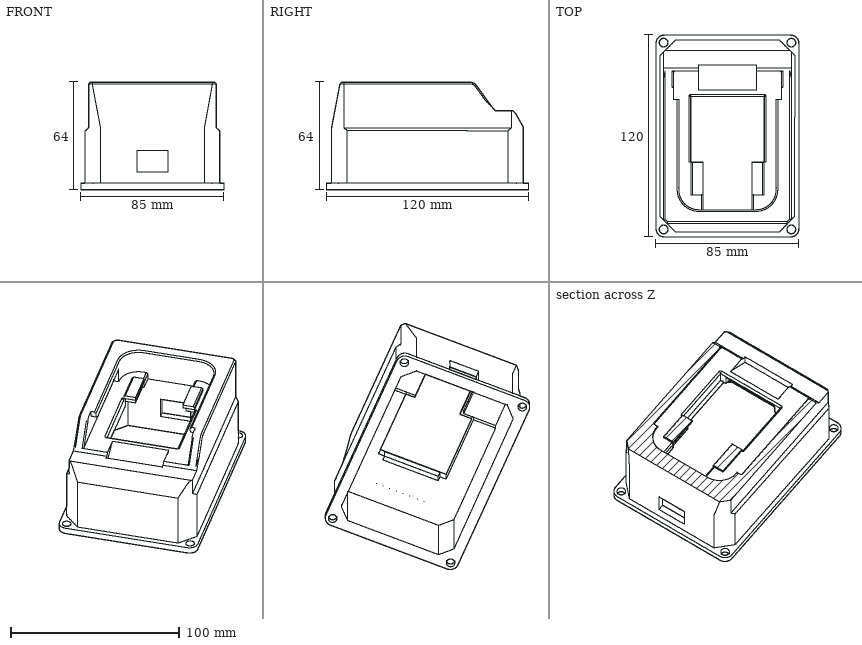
import cadquery as cq
import math

plate_x = 85.0
plate_y = 120.0
plate_thick = 4.0
plate_corner_r = 5.0
hole_d = 5.0
hole_inset = 4.5

total_z = 64.0
body_half_x = 40.1
upper_half_x = 37.9
body_half_y = 57.0
corner_cut = 9.2
right_wall_skew = 0.4
wall = 3.8

ledge_bottom_z = 35.0
ledge_top_z = 36.8
front_bend_z = 37.0
front_top_y = -51.8
rear_bend_z = 37.2
rear_bevel_y = 52.3
rear_bevel_z = 45.5
rear_deck_y = 50.6
rear_deck_z = 47.0
floor_z = 48.7
floor_step = floor_z - rear_deck_z
floor_rear_y = 38.8
rim_rear_y = 27.7
rim_round_r = 4.5
rim_bevel = 0.8
edge_bevel = 1.0
bevel_angle = 45

lip_half_x = 28.9
lip_front_y = -43.8
lip_corner_r = 12.0
lip_bottom_z = 58.0
lip_rear_y = 21.7
lip_round_r = 4.8
lip_bevel = 1.0
recess_half_x = 32.0
recess_front_y = -30.7

window_half_x = 21.7
window_rear_y = 23.4
window_front_y = -18.8
narrow_half_x = 14.5
window_bevel = 1.2
narrow_bevel = 1.0
notch_half_x = 17.8
notch_rear_y = 26.2
notch_cover = 0.7
notch_top_z = floor_z - window_bevel - notch_cover

tab_front_y = -34.9
tab_rear_y = -15.5
tab_top_z = 50.8
tab_bevel_width = 0.8
tab_bevel_drop = 0.6

pocket_half_x = 17.3
pocket_rear_y = 42.1
pocket_rear_z = 41.4
pocket_bend_y = 29.5
pocket_bend_z = 48.0
pocket_front_y = 27.4

ceiling_z = 40.7
front_ceiling_z = 44.2

port_half_x = 9.2
port_bottom_z = 10.5
port_top_z = 23.3

above_z = total_z + 1.2


def block(x0, x1, y0, y1, z0, z1):
    """Axis-aligned block between opposite corners."""
    return cq.Workplane("XY").box(x1 - x0, y1 - y0, z1 - z0, centered=False).translate((x0, y0, z0))


def mid_block(half_x, y0, y1, z0, z1):
    """Block centred on the YZ plane."""
    return block(-half_x, half_x, y0, y1, z0, z1)


def side_prism(points, half_x):
    """Extrude a (y, z) outline symmetrically along X."""
    return cq.Workplane("YZ").polyline(points).close().extrude(half_x, both=True)


def footprint():
    """Wire of the body's plan outline, with cut corners and a slightly skewed right wall."""
    cut_x = body_half_x - corner_cut
    cut_y = body_half_y - corner_cut
    return cq.Workplane("XY").polyline([
        (-cut_x, -body_half_y),
        (cut_x, -body_half_y),
        (body_half_x - right_wall_skew, -cut_y),
        (body_half_x, cut_y),
        (cut_x, body_half_y),
        (-cut_x, body_half_y),
        (-body_half_x, cut_y),
        (-body_half_x, -cut_y),
    ]).close()


def base_plate():
    plate = (
        cq.Workplane("XY")
        .rect(plate_x, plate_y)
        .extrude(plate_thick)
        .edges("|Z")
        .fillet(plate_corner_r)
    )
    return (
        plate.faces(">Z").workplane()
        .rect(plate_x - 2 * hole_inset, plate_y - 2 * hole_inset, forConstruction=True)
        .vertices()
        .hole(hole_d)
    )


def outer_body():
    """Plan, side and front outlines intersected, then the rim edges bevelled."""
    side = side_prism([
        (-body_half_y, 0),
        (-body_half_y, front_bend_z),
        (front_top_y, total_z),
        (rim_rear_y, total_z),
        (floor_rear_y, floor_z),
        (floor_rear_y + floor_step, rear_deck_z),
        (rear_deck_y, rear_deck_z),
        (rear_bevel_y, rear_bevel_z),
        (body_half_y, rear_bend_z),
        (body_half_y, 0),
    ], body_half_x)
    side = side.faces(">Z").edges(">Y").fillet(rim_round_r)
    front = cq.Workplane("XZ").polyline([
        (-body_half_x, 0),
        (-body_half_x, ledge_bottom_z),
        (-upper_half_x, ledge_top_z),
        (-upper_half_x, total_z),
        (upper_half_x, total_z),
        (upper_half_x, ledge_top_z),
        (body_half_x, ledge_bottom_z),
        (body_half_x, 0),
    ]).close().extrude(body_half_y, both=True)
    body = footprint().extrude(total_z).intersect(side).intersect(front)
    return body.faces(">Z").edges("not >Y").chamfer(edge_bevel)


def rim_recess():
    """Space between the rims: open between the lips and undercut below them."""
    opening = mid_block(lip_half_x, lip_front_y, floor_rear_y, floor_z, above_z)
    opening = opening.edges("|Z and <Y").fillet(lip_corner_r)
    under_lips = mid_block(recess_half_x, recess_front_y, floor_rear_y, floor_z, above_z)
    lips = mid_block(recess_half_x, recess_front_y, lip_rear_y, lip_bottom_z, above_z)
    lips = lips.edges(">Y and <Z").fillet(lip_round_r)
    return opening.union(under_lips.cut(lips))


def flare(half_x, y0, y1, top_z, size, corner_r=0):
    """Tapered cutter that bevels the upper edge of a straight opening."""
    outline = cq.Sketch().push([(0, (y0 + y1) / 2)]).rect(2 * half_x, y1 - y0).reset()
    if corner_r:
        outline = outline.vertices("<Y").fillet(corner_r)
    base = cq.Workplane("XY").workplane(offset=top_z - size)
    return base.placeSketch(outline).extrude(size, taper=-bevel_angle)


def rim_end_bevel():
    """Wedges that bevel the inner edges of the sloped rim ends, up to where the slope rounds over."""
    slope_angle = math.atan2(total_z - floor_z, floor_rear_y - rim_rear_y)
    slope_length = math.hypot(total_z - floor_z, floor_rear_y - rim_rear_y)
    straight_length = slope_length - rim_round_r * math.tan(slope_angle / 2)
    up_slope = (0, -math.cos(slope_angle), math.sin(slope_angle))
    foot = cq.Plane(origin=(recess_half_x, floor_rear_y, floor_z), xDir=(1, 0, 0), normal=up_slope)
    wedge = cq.Workplane(foot).polyline([
        (rim_bevel, 0),
        (0, rim_bevel),
        (-rim_bevel, 0),
        (0, -rim_bevel),
    ]).close().extrude(straight_length)
    return wedge.union(wedge.mirror("YZ"))


def window():
    """Stepped opening through the floor, bevelled where no tab stands, notched under its rear edge."""
    wide = mid_block(window_half_x, window_front_y, window_rear_y, 0, above_z)
    under_tabs = mid_block(narrow_half_x + narrow_bevel, tab_front_y, window_front_y, 0, above_z)
    narrow = mid_block(narrow_half_x, lip_front_y, tab_front_y, 0, floor_z)
    notch = mid_block(notch_half_x, window_rear_y, notch_rear_y, 0, notch_top_z)

    wide_flare = flare(window_half_x, window_front_y, window_rear_y, floor_z, window_bevel)
    wide_flare = wide_flare.intersect(mid_block(body_half_x, tab_rear_y, body_half_y, 0, above_z))
    narrow_flare = flare(narrow_half_x, lip_front_y, tab_front_y, floor_z, narrow_bevel)
    narrow_flare = narrow_flare.intersect(mid_block(body_half_x, lip_front_y, tab_front_y, 0, above_z))

    opening = wide
    for cutter in (under_tabs, narrow, notch, wide_flare, narrow_flare):
        opening = opening.union(cutter)
    return opening


def tab(side):
    """Raised tab beside the narrow part of the window, bevelled on its outer upper edge."""
    return cq.Workplane("XZ", origin=(0, tab_rear_y, 0)).polyline([
        (side * narrow_half_x, floor_z),
        (side * narrow_half_x, tab_top_z),
        (side * (window_half_x - tab_bevel_width), tab_top_z),
        (side * window_half_x, tab_top_z - tab_bevel_drop),
        (side * window_half_x, floor_z),
    ]).close().extrude(tab_rear_y - tab_front_y)


def deck_pocket():
    """Pocket whose bottom slopes up from the rear deck to the recess floor."""
    return side_prism([
        (pocket_rear_y, above_z),
        (pocket_rear_y, pocket_rear_z),
        (pocket_bend_y, pocket_bend_z),
        (pocket_front_y, floor_z),
        (pocket_front_y, above_z),
    ], pocket_half_x)


def cavity():
    """Inner space that follows the plan outline, with a higher ceiling at the front."""
    inner = footprint().offset2D(-wall).extrude(front_ceiling_z)
    return inner.cut(mid_block(body_half_x, window_front_y, body_half_y, ceiling_z, above_z))


def connector_port():
    return mid_block(port_half_x, -body_half_y, -body_half_y + 2 * wall, port_bottom_z, port_top_z)


body = outer_body().cut(rim_recess())
body = body.cut(rim_end_bevel())
body = body.cut(flare(lip_half_x, lip_front_y, lip_rear_y, total_z, lip_bevel, lip_corner_r))
body = body.cut(deck_pocket())

result = base_plate().union(body)
result = result.cut(cavity()).cut(window()).cut(connector_port())
for side in (-1, 1):
    result = result.union(tab(side))